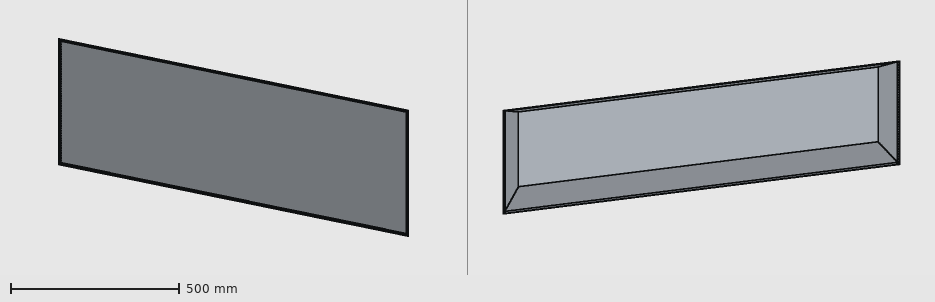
import cadquery as cq

LENGTH = 1200.0
HEIGHT = 400.0
DEPTH = 50.0

BACK_INSET = 55.0
RIM_WIDTH = 6.0
PANEL_THICKNESS = 4.0


def make_panel():
    """Flat rectangular panel with its front face at Y = 0."""
    return cq.Workplane("XY").box(
        LENGTH - 2 * RIM_WIDTH,
        PANEL_THICKNESS,
        HEIGHT - 2 * RIM_WIDTH,
        centered=(True, False, True),
    )


def make_backing(panel):
    """Block that narrows toward the back, with a front recess that fits the panel."""
    block = (
        cq.Workplane("XZ", origin=(0, DEPTH, 0))
        .rect(LENGTH - 2 * BACK_INSET, HEIGHT - 2 * BACK_INSET)
        .workplane(offset=DEPTH)
        .rect(LENGTH, HEIGHT)
        .loft(ruled=True)
    )
    return block.cut(panel)


panel = make_panel()
backing = make_backing(panel)

result = cq.Compound.makeCompound([backing.val(), panel.val()])